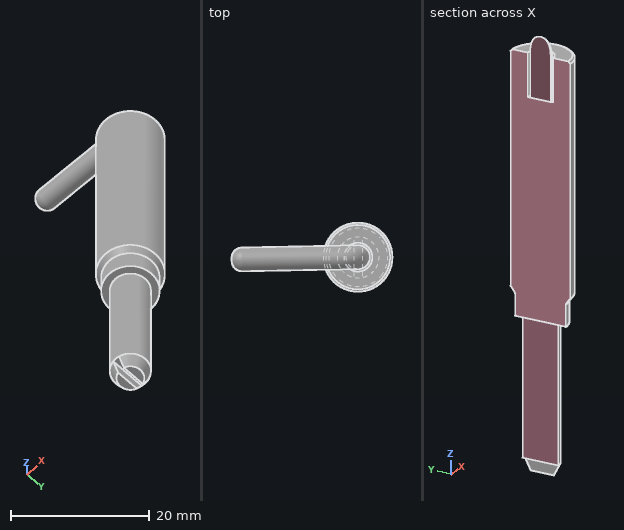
import cadquery as cq
import math

TOTAL_HEIGHT = 69.45
PLUG_LENGTH = 23.9
HOUSING_LENGTH = 41.7
HOUSING_TOP = PLUG_LENGTH + HOUSING_LENGTH

HOUSING_DIAMETER = 10.0
HOUSING_TOP_CHAMFER = 0.35
NECK_DIAMETER = 8.5
NECK_LENGTH = 3.55
SHOULDER_HEIGHT = 1.05
BORE_DIAMETER = 4.2
BORE_DEPTH = 6.95

PLUG_DIAMETER = 6.0
TIP_DIAMETER = 4.0
TIP_LENGTH = 1.95
SLOT_WIDTH = 1.2

WIRE_DIAMETER = 3.5
WIRE_REACH = 18.3
WIRE_BEND_RADIUS = 2.7
WIRE_END_FILLET = 1.5
WIRE_TURN = 1.1


def make_housing():
    """Turned sleeve with a narrower neck below and a blind bore in the top."""
    outer_radius = HOUSING_DIAMETER / 2
    neck_radius = NECK_DIAMETER / 2
    neck_top = PLUG_LENGTH + NECK_LENGTH
    profile = [
        (0, PLUG_LENGTH),
        (neck_radius, PLUG_LENGTH),
        (neck_radius, neck_top),
        (outer_radius, neck_top + SHOULDER_HEIGHT),
        (outer_radius, HOUSING_TOP - HOUSING_TOP_CHAMFER),
        (outer_radius - HOUSING_TOP_CHAMFER, HOUSING_TOP),
        (0, HOUSING_TOP),
    ]
    sleeve = cq.Workplane("XZ").polyline(profile).close().revolve(360, (0, 0), (0, 1))
    bore = (
        cq.Workplane("XY")
        .workplane(offset=HOUSING_TOP - BORE_DEPTH)
        .circle(BORE_DIAMETER / 2)
        .extrude(BORE_DEPTH)
    )
    return sleeve.cut(bore)


def make_plug():
    """Round plug whose tapered tip is split by a slot along Y."""
    radius = PLUG_DIAMETER / 2
    profile = [
        (0, 0),
        (TIP_DIAMETER / 2, 0),
        (radius, TIP_LENGTH),
        (radius, PLUG_LENGTH),
        (0, PLUG_LENGTH),
    ]
    plug = cq.Workplane("XZ").polyline(profile).close().revolve(360, (0, 0), (0, 1))
    slot = cq.Workplane("XY").rect(SLOT_WIDTH, PLUG_DIAMETER).extrude(TIP_LENGTH)
    return plug.cut(slot)


def make_wire():
    """Round wire standing on the bore floor and bent over towards -X."""
    wire_bottom = HOUSING_TOP - BORE_DEPTH
    arm_height = TOTAL_HEIGHT - WIRE_DIAMETER / 2
    bend_start = arm_height - WIRE_BEND_RADIUS
    bend_offset = WIRE_BEND_RADIUS * (1 - math.cos(math.radians(45)))
    path = (
        cq.Workplane("XZ")
        .moveTo(0, wire_bottom)
        .lineTo(0, bend_start)
        .threePointArc((-bend_offset, arm_height - bend_offset), (-WIRE_BEND_RADIUS, arm_height))
        .lineTo(-WIRE_REACH, arm_height)
    )
    wire = cq.Workplane("XY").workplane(offset=wire_bottom).circle(WIRE_DIAMETER / 2).sweep(path)
    wire = wire.faces("<X").edges().fillet(WIRE_END_FILLET)
    return wire.rotate((0, 0, 0), (0, 0, 1), WIRE_TURN)


housing = make_housing()
plug = make_plug()
wire = make_wire()

result = cq.Compound.makeCompound([housing.val(), plug.val(), wire.val()])